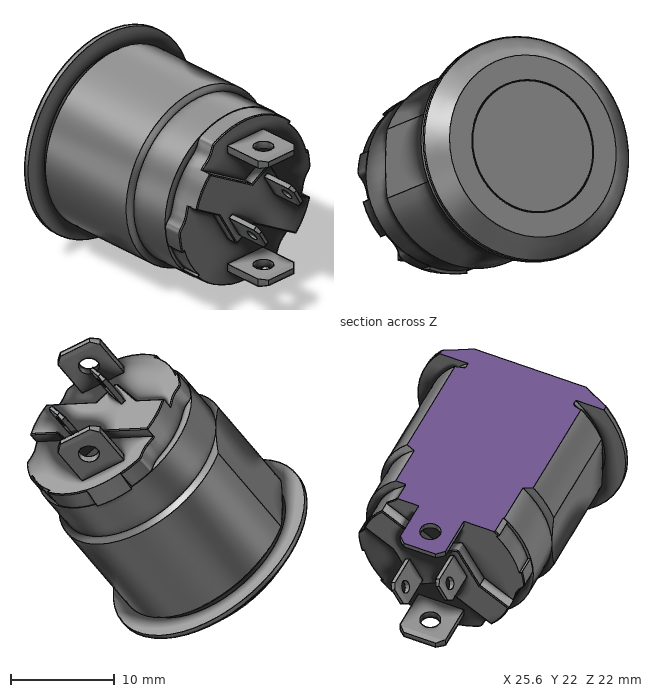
import cadquery as cq
import math

overall_length = 25.6
flange_bevel_end = 1.4
flange_rim_start = 1.54
flange_back = 2.0
neck_step = 2.48
barrel_lead_in = 2.59
barrel_start = 2.85
barrel_end = 13.93
rear_start = 14.34
cap_start = 18.64
cap_end = 20.63
bar_end = 21.75

face_radius = 8.9
flange_bevel_radius = 10.9
flange_radius = 22.0 / 2
neck_radius = 17.6 / 2
rear_radius = 17.7 / 2
barrel_radius = 9.47

button_gap_outer_radius = 13.0 / 2
button_gap_width = 0.08
button_gap_depth = 0.2

cap_radius = 8.78
recess_floor_radius = 8.0
recess_axis_angle = 60.0
recess_half_angle = 33.2
recess_floor_half_angle = 19.5
recess_lip_radius = 0.82
cap_bevel_length = 0.15
cap_bevel_depth = 0.05
notch_floor_radius = 17.0 / 2
narrow_notch_angle = 120.0
narrow_notch_half_width = 1.97
wide_notch_angle = 300.0
wide_notch_half_width = 2.4

snap_radius = 9.16
snap_end_radius = 8.75

bar_half_width = 1.87
shoulder_reach = 3.7
shoulder_free_side = 1.97
block_corner_radius = 0.25
block_edge_chamfer = 0.1

blade_bevel_length = 0.55
pin_width = 4.8
pin_thickness = 0.8
pin_offset = 6.5
pin_hole_diameter = 2.0
pin_hole_x = 23.15
pin_corner_cut = 0.72
pin_bevel_depth = 0.1
contact_width = 2.8
contact_thickness = 0.5
contact_offset = 2.71
contact_hole_diameter = 1.2
contact_hole_x = 24.22
contact_corner_cut = 0.49
contact_bevel_depth = 0.08
contact_angle = -60.0


def polar(radius, angle):
    """Point (y, z) at an angle measured from +Z toward -Y."""
    a = math.radians(angle)
    return (-radius * math.sin(a), radius * math.cos(a))


def turn(shape, angle):
    """Rotate a shape about the X axis, from +Z toward -Y."""
    return shape.rotate((0, 0, 0), (1, 0, 0), angle)


def cross_section(x):
    """Sketch plane across the axis, with local coordinates (y, z)."""
    return cq.Workplane("YZ", origin=(x, 0, 0))


def make_body():
    """Turned flange, neck, barrel and rear sleeve, with a flat along the barrel."""
    body = (
        cq.Workplane("XY")
        .polyline([
            (0, 0),
            (0, face_radius),
            (flange_bevel_end, flange_bevel_radius),
            (flange_rim_start, flange_radius),
            (flange_back, flange_radius),
            (flange_back, neck_radius),
            (neck_step, neck_radius),
            (neck_step, rear_radius),
            (barrel_lead_in, rear_radius),
            (barrel_start, barrel_radius),
            (barrel_end, barrel_radius),
            (rear_start, rear_radius),
            (cap_start, rear_radius),
            (cap_start, 0),
        ])
        .close()
        .revolve(360, (0, 0, 0), (1, 0, 0))
    )
    flat_cutter = cq.Workplane("XY").box(
        rear_start - flange_back, barrel_radius, 2 * barrel_radius, centered=(False, False, True)
    ).translate((flange_back, rear_radius, 0))
    button_gap = (
        cross_section(0)
        .circle(button_gap_outer_radius)
        .circle(button_gap_outer_radius - button_gap_width)
        .extrude(button_gap_depth)
    )
    return body.cut(flat_cutter).cut(button_gap)


def recess_curve_points(axis_angle, side):
    """Points from cap edge to recess floor along one S-shaped end: a convex lip, then a concave sweep.

    The two arcs are tangent to each other, to the cap edge and to the recess floor.
    """
    lip_distance = cap_radius - recess_lip_radius
    spread = math.radians(recess_half_angle - recess_floor_half_angle)
    cosine = math.cos(spread)
    sweep_radius = (
        (lip_distance**2 + recess_floor_radius**2 - 2 * lip_distance * recess_floor_radius * cosine
         - recess_lip_radius**2)
        / (2 * (recess_lip_radius - recess_floor_radius + lip_distance * cosine))
    )
    outer_angle = axis_angle + side * recess_half_angle
    floor_angle = axis_angle + side * recess_floor_half_angle
    lip_centre = polar(lip_distance, outer_angle)
    sweep_centre = polar(recess_floor_radius + sweep_radius, floor_angle)
    lip_edge = polar(cap_radius, outer_angle)
    floor_edge = polar(recess_floor_radius, floor_angle)
    share = recess_lip_radius / (recess_lip_radius + sweep_radius)
    tangency = tuple(a + share * (b - a) for a, b in zip(lip_centre, sweep_centre))
    lip_middle = arc_middle(lip_centre, lip_edge, tangency)
    sweep_middle = arc_middle(sweep_centre, tangency, floor_edge)
    return lip_edge, lip_middle, tangency, sweep_middle, floor_edge


def arc_middle(centre, start, end):
    """Middle point of the shorter arc between two points on a circle."""
    radius = math.dist(centre, start)
    direction = [(a + b) / 2 - c for a, b, c in zip(start, end, centre)]
    length = math.hypot(*direction)
    return tuple(c + radius * d / length for c, d in zip(centre, direction))


def make_cap():
    """End cap with two smooth recesses, two shallow notches and a snap ramp."""
    opposite = recess_axis_angle + 180
    first_point = recess_curve_points(recess_axis_angle, -1)[0]
    outline = cross_section(cap_start).moveTo(*first_point)
    for axis_angle in (recess_axis_angle, opposite):
        _, lip, tangency, sweep, floor_start = recess_curve_points(axis_angle, -1)
        outline = outline.threePointArc(lip, tangency).threePointArc(sweep, floor_start)
        lip_edge, lip, tangency, sweep, floor_end = recess_curve_points(axis_angle, 1)
        outline = outline.threePointArc(polar(recess_floor_radius, axis_angle), floor_end)
        outline = outline.threePointArc(sweep, tangency).threePointArc(lip, lip_edge)
        next_point = recess_curve_points(axis_angle + 180, -1)[0]
        outline = outline.threePointArc(polar(cap_radius, axis_angle + 90), next_point)
    cap = outline.close().extrude(cap_end - cap_start)
    cap = cap.faces(">X").chamfer(cap_bevel_length, cap_bevel_depth)
    cap = cap.cut(make_notch_cutter(narrow_notch_angle, narrow_notch_half_width))
    cap = cap.cut(make_notch_cutter(wide_notch_angle, wide_notch_half_width))
    return cap.union(make_snap())


def make_notch_cutter(angle, half_width):
    """Cutter for a straight-sided notch with a round floor, centred on an angle."""
    length = cap_end - cap_start
    block = cq.Workplane("XY").box(
        length, 2 * half_width, barrel_radius, centered=(False, True, False)
    ).translate((cap_start, 0, 0))
    floor = cross_section(cap_start).circle(notch_floor_radius).extrude(length)
    return turn(block.cut(floor), angle)


def make_snap():
    """Conical ramp on the underside of the cap, highest next to the sleeve."""
    cone = (
        cq.Workplane("XY")
        .polyline([(cap_start, 0), (cap_start, snap_radius), (cap_end, snap_end_radius), (cap_end, 0)])
        .close()
        .revolve(360, (0, 0, 0), (1, 0, 0))
    )
    keep = cq.Workplane("XY").box(
        cap_end - cap_start, 2 * narrow_notch_half_width, snap_radius, centered=(False, True, False)
    ).translate((cap_start, 0, -snap_radius))
    return cone.intersect(keep)


def make_contact_block():
    """Bar across the cap, flush with the recess floors, with a shoulder on each side."""
    length = bar_end - cap_start
    bar = cross_section(cap_start).rect(2 * bar_half_width, 2 * recess_floor_radius).extrude(length)
    bar = turn(bar, recess_axis_angle)
    bar = bar.intersect(cross_section(cap_start).circle(recess_floor_radius).extrude(length))
    tilt = math.radians(recess_axis_angle - contact_angle - 90)
    shoulder_meeting = (shoulder_reach * math.cos(tilt) - bar_half_width) / math.sin(tilt)
    shoulder = cq.Workplane("XY").box(
        length, shoulder_free_side + shoulder_meeting, shoulder_reach, centered=False
    )
    shoulder = shoulder.translate((cap_start, -shoulder_free_side, 0))
    shoulder = shoulder.edges("|X and <Y and >Z").fillet(block_corner_radius)
    for angle in (contact_angle, contact_angle + 180):
        bar = bar.union(turn(shoulder, angle))
    return bar.faces(">X").chamfer(block_edge_chamfer)


def make_blade(width, thickness, offset, hole_diameter, hole_x, corner_cut, bevel_depth):
    """Flat terminal above the axis, with cut corners, a bevelled tip and a wire hole."""
    half_width = width / 2
    half_thickness = thickness / 2
    plan = (
        cq.Workplane("XY")
        .polyline([
            (cap_start, -half_width),
            (overall_length - corner_cut, -half_width),
            (overall_length, corner_cut - half_width),
            (overall_length, half_width - corner_cut),
            (overall_length - corner_cut, half_width),
            (cap_start, half_width),
        ])
        .close()
        .extrude(half_thickness, both=True)
    )
    side = (
        cq.Workplane("XZ")
        .polyline([
            (cap_start, -half_thickness),
            (overall_length - blade_bevel_length, -half_thickness),
            (overall_length, bevel_depth - half_thickness),
            (overall_length, half_thickness - bevel_depth),
            (overall_length - blade_bevel_length, half_thickness),
            (cap_start, half_thickness),
        ])
        .close()
        .extrude(half_width, both=True)
    )
    hole = (
        cq.Workplane("XY")
        .center(hole_x, 0)
        .circle(hole_diameter / 2)
        .extrude(thickness, both=True)
    )
    return plan.intersect(side).cut(hole).translate((0, 0, offset))


pin = make_blade(
    pin_width, pin_thickness, pin_offset, pin_hole_diameter, pin_hole_x, pin_corner_cut, pin_bevel_depth
)
contact = make_blade(
    contact_width, contact_thickness, contact_offset, contact_hole_diameter, contact_hole_x,
    contact_corner_cut, contact_bevel_depth
)

result = make_body().union(make_cap()).union(make_contact_block())
for half_turn in (0, 180):
    result = result.union(turn(pin, half_turn))
    result = result.union(turn(contact, contact_angle + half_turn))